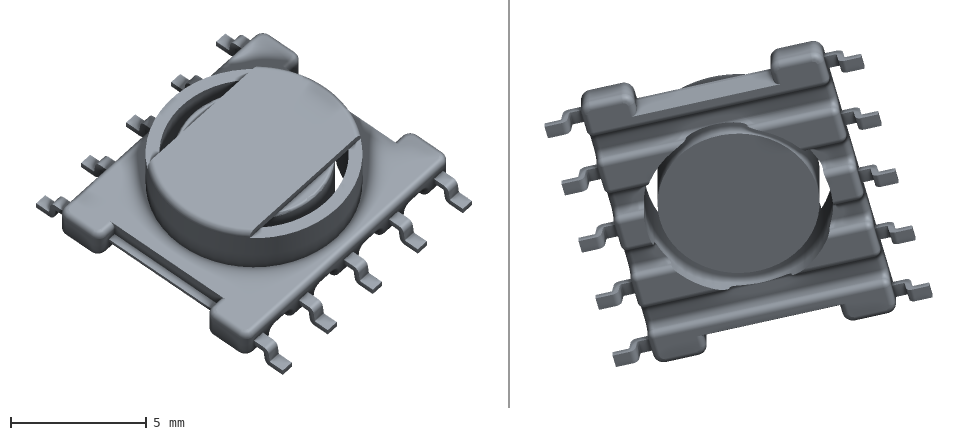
import cadquery as cq
import math

BASE_WIDTH = 9.25
BASE_LENGTH = 11.5
BASE_BOTTOM = 0.13
BASE_TOP = 1.4
RAIL_WIDTH = 2.03
RAIL_CORNER_RADIUS = 0.4
EDGE_RADIUS = 0.25
WEB_LENGTH = 9.73

RIDGE_REACH = 0.33
RIDGE_LIP_Z = 0.69
RIDGE_TOP_Z = 0.82

PIN_COUNT = 5
PIN_PITCH = 2.53
PIN_WIDTH = 0.51
PIN_THICKNESS = 0.25
PIN_SPAN = 12.07
PIN_ARM_Z = 0.62
PIN_LEG_X = 5.25
PIN_LEG_ANGLE = 8.0
PIN_OUTER_BEND = 0.24
PIN_INNER_BEND = 0.05
PIN_EMBED = 0.36

ARCH_WIDTH = 1.01
ARCH_TOP_Z = 0.64
ARCH_RADIUS = 0.24

RING_RADIUS = 4.01
RING_BORE_RADIUS = 3.5
RING_TOP = 3.11
LID_TOP = 3.43
LID_WIDTH = 5.01
DRUM_RADIUS = 2.99
DRUM_EDGE_RADIUS = 0.12
DRUM_BOTTOM = ARCH_TOP_Z

SIDES = (-1, 1)


def disc(radius, bottom, top):
    """Upright cylinder on the Z axis between two heights."""
    return cq.Workplane("XY", origin=(0, 0, bottom)).circle(radius).extrude(top - bottom)


def block(width, length, bottom, top, x=0):
    """Box between two heights, centred on Y = 0 and on the given X."""
    return cq.Workplane("XY", origin=(x, 0, bottom)).rect(width, length).extrude(top - bottom)


def arch_grooves():
    """Round-topped grooves running along X, one midway between neighbouring pins."""
    groove = (
        block(2 * BASE_WIDTH, ARCH_WIDTH, 0, ARCH_TOP_Z)
        .edges("|X and >Z")
        .fillet(ARCH_RADIUS)
    )
    grooves = cq.Workplane("XY")
    for index in range(PIN_COUNT - 1):
        y = (index - (PIN_COUNT - 2) / 2) * PIN_PITCH
        grooves = grooves.add(groove.translate((0, y, 0)))
    return grooves.combine()


def is_rim(edge):
    """True for every edge except the uprights and the tops of the grooves."""
    box = edge.BoundingBox()
    upright = box.zlen > ARCH_TOP_Z
    inside_base = BASE_BOTTOM < box.zmin and box.zmax < BASE_TOP
    groove_top = inside_base and box.xlen > EDGE_RADIUS
    return not upright and not groove_top


def rail(side, grooves):
    """Side bar with rounded corners and every rim filleted, including the groove openings."""
    centre_x = side * (BASE_WIDTH - RAIL_WIDTH) / 2
    bar = block(RAIL_WIDTH, BASE_LENGTH, BASE_BOTTOM, BASE_TOP, centre_x)
    bar = bar.edges("|Z").fillet(RAIL_CORNER_RADIUS).cut(grooves)
    rims = [edge for edge in bar.edges().vals() if is_rim(edge)]
    return bar.newObject(rims).fillet(EDGE_RADIUS)


def web(grooves):
    """Block joining the rails, with the groove mouths rounded, and a ridge across each end."""
    body_width = BASE_WIDTH - RAIL_WIDTH
    body = block(body_width, WEB_LENGTH, BASE_BOTTOM, BASE_TOP).cut(grooves)
    mouths = body.faces("<Z").edges("|X")
    outermost = WEB_LENGTH / 2 - EDGE_RADIUS
    mouths = [edge for edge in mouths.vals() if abs(edge.Center().y) < outermost]
    body = body.newObject(mouths).fillet(EDGE_RADIUS)

    for side in SIDES:
        wall_y = side * WEB_LENGTH / 2
        ridge = (
            cq.Workplane("YZ", origin=(-body_width / 2, 0, 0))
            .moveTo(wall_y, BASE_BOTTOM)
            .lineTo(wall_y + side * RIDGE_REACH, RIDGE_LIP_Z)
            .lineTo(wall_y + side * RIDGE_REACH, RIDGE_TOP_Z)
            .lineTo(wall_y, RIDGE_TOP_Z)
            .close()
            .extrude(body_width)
        )
        body = body.union(ridge)
    return body


def pot_core():
    """Ring with a strip lid rounded at its two ends, and a drum hanging from the lid."""
    lid = disc(RING_RADIUS, RING_TOP, LID_TOP).faces(">Z").edges().fillet(EDGE_RADIUS)
    lid = lid.intersect(block(LID_WIDTH, 2 * RING_RADIUS, RING_TOP, LID_TOP))
    ring = disc(RING_RADIUS, BASE_TOP, RING_TOP).cut(disc(RING_BORE_RADIUS, BASE_TOP, RING_TOP))
    drum = disc(DRUM_RADIUS, DRUM_BOTTOM, RING_TOP).faces(">Z").edges().fillet(DRUM_EDGE_RADIUS)
    return ring.union(lid).union(drum)


def pin():
    """Gull-wing pin on the -X side: foot, leaning leg and an arm entering the base."""
    arm_bottom = PIN_ARM_Z
    arm_top = PIN_ARM_Z + PIN_THICKNESS
    arm_end = -BASE_WIDTH / 2 + PIN_EMBED
    foot_end = -PIN_SPAN / 2
    lean = math.tan(math.radians(PIN_LEG_ANGLE))
    half_leg = PIN_THICKNESS / math.cos(math.radians(PIN_LEG_ANGLE)) / 2
    leg_middle_z = arm_top / 2

    def leg_x(z, face):
        return -PIN_LEG_X + (z - leg_middle_z) * lean + face * half_leg

    outline = [
        (foot_end, 0),
        (leg_x(0, 1), 0),
        (leg_x(arm_bottom, 1), arm_bottom),
        (arm_end, arm_bottom),
        (arm_end, arm_top),
        (leg_x(arm_top, -1), arm_top),
        (leg_x(PIN_THICKNESS, -1), PIN_THICKNESS),
        (foot_end, PIN_THICKNESS),
    ]
    body = (
        cq.Workplane("XZ", origin=(0, PIN_WIDTH / 2, 0))
        .polyline(outline)
        .close()
        .extrude(PIN_WIDTH)
    )

    def bend_edge(x, z):
        return cq.selectors.NearestToPointSelector((x, 0, z))

    for z, face, radius in (
        (0, 1, PIN_OUTER_BEND),
        (arm_top, -1, PIN_OUTER_BEND),
        (arm_bottom, 1, PIN_INNER_BEND),
        (PIN_THICKNESS, -1, PIN_INNER_BEND),
    ):
        body = body.edges("|Y").edges(bend_edge(leg_x(z, face), z)).fillet(radius)
    return body


grooves = arch_grooves()
result = web(grooves)
for side in SIDES:
    result = result.union(rail(side, grooves))
result = result.cut(disc(RING_BORE_RADIUS, 0, BASE_TOP)).union(pot_core())

left_pin = pin()
right_pin = left_pin.mirror("YZ")
for index in range(PIN_COUNT):
    y = (index - (PIN_COUNT - 1) / 2) * PIN_PITCH
    for body in (left_pin, right_pin):
        result = result.union(body.translate((0, y, 0)))